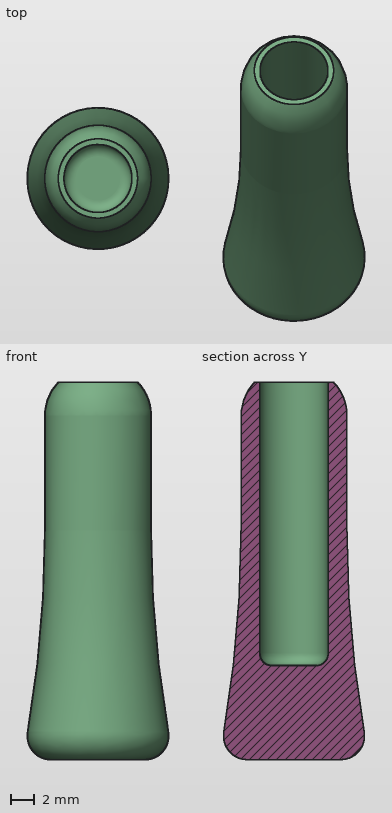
import cadquery as cq
import math

height = 32.0
shoulder_height = 29.2
flare_top_height = 19.42
flare_bottom_height = 2.4

rim_radius = 3.35
neck_radius = 4.5
outer_diameter = 12.0
base_arc_radius = 2.05

bore_radius = 2.88
bore_floor_fillet = 1.0
bore_depth = 24.0

base_flat_radius = outer_diameter / 2 - base_arc_radius
rise_past_widest = flare_bottom_height - base_arc_radius
flare_bottom_radius = base_flat_radius + math.sqrt(base_arc_radius**2 - rise_past_widest**2)
base_arc_widest_point = (outer_diameter / 2, base_arc_radius)


def make_body():
    """Revolve the solid outer shape about Z, tracing it from the neck down."""
    return (
        cq.Workplane("XZ")
        .moveTo(neck_radius, shoulder_height)
        .lineTo(neck_radius, flare_top_height)
        .tangentArcPoint((flare_bottom_radius, flare_bottom_height), relative=False)
        .threePointArc(base_arc_widest_point, (base_flat_radius, 0))
        .lineTo(0, 0)
        .lineTo(0, height)
        .lineTo(rim_radius, height)
        .threePointArc(shoulder_midpoint(), (neck_radius, shoulder_height))
        .close()
        .revolve(360, (0, 0, 0), (0, 1, 0))
    )


def shoulder_midpoint():
    """Middle of the shoulder arc, which is tangent to the neck."""
    rise = height - shoulder_height
    inset = neck_radius - rim_radius
    arc_radius = (rise**2 + inset**2) / (2 * inset)
    half_angle = math.atan(inset / rise)
    return (
        neck_radius - arc_radius * (1 - math.cos(half_angle)),
        shoulder_height + arc_radius * math.sin(half_angle),
    )


def make_bore():
    """Cylinder sunk from the rim, with its bottom edge rounded."""
    return (
        cq.Workplane("XY")
        .workplane(offset=height - bore_depth)
        .circle(bore_radius)
        .extrude(bore_depth)
        .faces("<Z")
        .edges()
        .fillet(bore_floor_fillet)
    )


result = make_body().cut(make_bore())